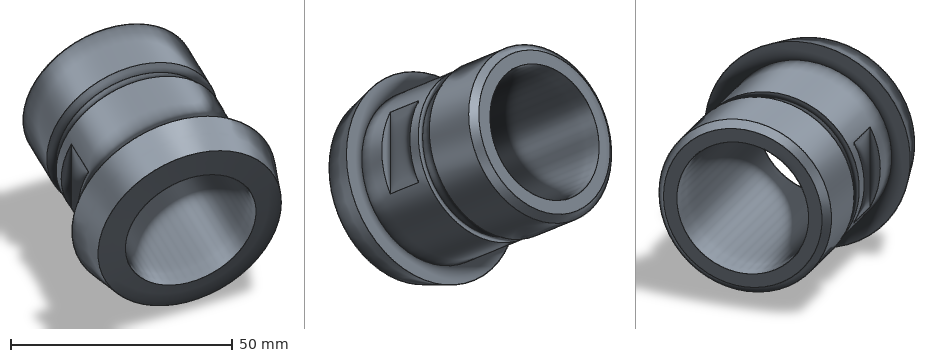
import cadquery as cq

total_length = 50.0
groove_start = 17.0
groove_end = 20.0
flange_start = 40.1
flange_rim = 49.4

bore_diameter = 32.0
thread_diameter = 41.9
groove_diameter = 38.5
body_diameter = 41.0
flange_diameter = 50.0
flange_rim_diameter = 44.9

end_chamfer_length = 1.55
groove_chamfer_length = 1.45
flat_start = 23.0
flat_length = 10.0
flat_spacing = 36.0


def make_turned_body():
    """Revolve the half section around the X axis."""
    bore_radius = bore_diameter / 2
    thread_radius = thread_diameter / 2
    groove_radius = groove_diameter / 2
    body_radius = body_diameter / 2
    flange_radius = flange_diameter / 2
    rim_radius = flange_rim_diameter / 2
    return (
        cq.Workplane("XY")
        .moveTo(0, bore_radius)
        .lineTo(0, groove_radius)
        .lineTo(end_chamfer_length, thread_radius)
        .lineTo(groove_start - groove_chamfer_length, thread_radius)
        .lineTo(groove_start, groove_radius)
        .lineTo(groove_end, groove_radius)
        .lineTo(groove_end, body_radius)
        .lineTo(flange_start, body_radius)
        .lineTo(flange_start, flange_radius)
        .lineTo(flange_rim, rim_radius)
        .lineTo(total_length, bore_radius)
        .close()
        .revolve(360, (0, 0, 0), (1, 0, 0))
    )


def cut_wrench_flats(body):
    """Mill two opposite flats, facing +Y and -Y, into the plain shank."""
    flat_centre = flat_start + flat_length / 2
    cutter_depth = (flange_diameter - flat_spacing) / 2
    cutter_offset = (flat_spacing + cutter_depth) / 2
    for side in (-1, 1):
        cutter = cq.Workplane("XY").box(flat_length, cutter_depth, flange_diameter)
        body = body.cut(cutter.translate((flat_centre, side * cutter_offset, 0)))
    return body


result = cut_wrench_flats(make_turned_body())